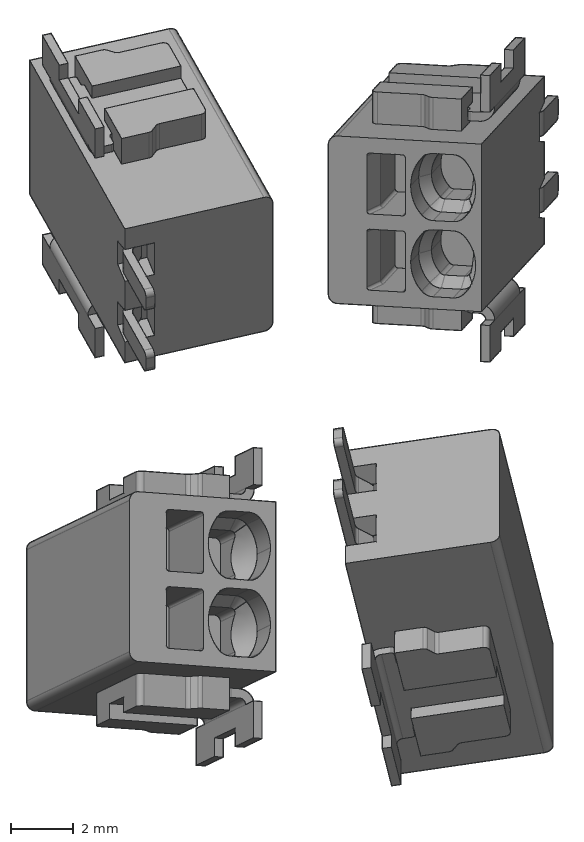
import cadquery as cq
import math


body_length = 9.0
body_height = 5.0
body_width = 5.5
body_edge_radius = 0.3
pole_pitch = 2.5
pole_centers = (-pole_pitch / 2, pole_pitch / 2)

entry_center_y = 1.25
entry_half_y = 1.06
entry_half_z = 1.1
entry_side_radius = 1.4
entry_corner_radius = 0.5
entry_flat_half = 0.325
mouth_depth = 1.15
entry_side_shift = entry_side_radius - entry_half_y
entry_corner_z = entry_half_z - entry_corner_radius
entry_side_angle = math.atan2(entry_corner_z, entry_flat_half + entry_side_shift)
funnel_inset = 0.3
funnel_angle = 30.0
funnel_slope = math.tan(math.radians(funnel_angle))
funnel_depth = funnel_inset / funnel_slope
entry_depth = 3.0

window_bottom = 2.48
window_top = 3.5
window_width = 2.0
window_corner_radius = 0.1
window_lead_depth = 0.9
window_lead_angle = 15.0
window_lead_rise = window_lead_depth * math.tan(math.radians(window_lead_angle))

metal = 0.3

pin_width = 0.8
pin_end = 11.0
pin_tip_radius = 0.2
pin_bend_start = 8.93
pin_bend_radius = 0.55
pin_bend_angle = math.radians(45.0)
pin_leg_rise = 0.6
recess_depth = 0.68
recess_height = 1.0
recess_width = 1.3
recess_side_angle = math.radians(15.0)

block_center_x = 3.7
block_bottom = 1.0
block_top = 4.0
block_low_width = 4.4
block_high_width = 3.8
block_shoulder = 2.0
block_radius = 0.2
block_outer_z = 3.8
groove_width = 1.2
groove_floor_z = 3.3

strip_width = 3.6
neck_width = 2.6
neck_bottom = 0.9
neck_radius = 0.1
anchor_bend_radius = 0.5
foot_width = 5.0
foot_end_z = 4.7
notch_width = 1.8
notch_depth = 0.6


def make_body():
    body = cq.Workplane("XY").box(body_length, body_height, body_width, centered=(False, False, True))
    return body.edges("|X and >Y").fillet(body_edge_radius)


def ring_wire(x, pieces):
    """Closed wire in the plane at x; each piece lists 2 (line) or 3 (arc) (y, z) points."""
    edges = []
    for piece in pieces:
        points = [cq.Vector(x, y, z) for y, z in piece]
        if len(points) == 2:
            edges.append(cq.Edge.makeLine(*points))
        else:
            edges.append(cq.Edge.makeThreePointArc(*points))
    return cq.Wire.assembleEdges(edges)


def polar(center, radius, angle):
    return (center[0] + radius * math.cos(angle), center[1] + radius * math.sin(angle))


def entry_outline(x, center_z, inset, lower_shape="arc"):
    """Wire-entry outline shrunk by inset; its lower side is an arc, its chord, or a flat on the corners."""
    corner_radius = entry_corner_radius - inset
    side_radius = entry_side_radius - inset
    corner_middle = (entry_side_angle + math.pi / 2) / 2
    corner = (entry_flat_half, entry_corner_z)
    side_center = (-entry_side_shift, 0)

    flat_end = polar(corner, corner_radius, math.pi / 2)
    corner_end = polar(corner, corner_radius, entry_side_angle)
    corner_arc = [flat_end, polar(corner, corner_radius, corner_middle), corner_end]
    side_arc = [
        corner_end,
        polar(side_center, side_radius, entry_side_angle / 2),
        polar(side_center, side_radius, 0),
    ]
    lower_corner = corner_arc
    lower_side = side_arc
    if lower_shape == "chord":
        lower_side = [corner_end, (corner_end[0], 0)]
    if lower_shape == "flat":
        flat_y = entry_flat_half + corner_radius
        lower_corner = [flat_end, polar(corner, corner_radius, math.pi / 4), (flat_y, entry_corner_z)]
        lower_side = [(flat_y, entry_corner_z), (flat_y, 0)]

    def placed(piece, sign_y, sign_z):
        return [(entry_center_y + sign_y * y, center_z + sign_z * z) for y, z in piece]

    flat = [(-flat_end[0], flat_end[1]), flat_end]
    pieces = [placed(flat, 1, 1)]
    pieces += [placed(corner_arc, 1, 1), placed(side_arc, 1, 1)]
    pieces += [placed(side_arc[::-1], 1, -1), placed(corner_arc[::-1], 1, -1)]
    pieces += [placed(flat[::-1], 1, -1)]
    pieces += [placed(lower_corner, -1, -1), placed(lower_side, -1, -1)]
    pieces += [placed(lower_side[::-1], -1, 1), placed(lower_corner[::-1], -1, 1)]
    return ring_wire(x, pieces)


def make_funnel_side(center_z):
    """Conical lower side of the funnel, carried on until it meets the flat of the bore."""
    flat_offset = entry_flat_half + entry_corner_radius - funnel_inset
    side_depth = (entry_half_y - flat_offset) / funnel_slope
    side_end_x = mouth_depth + side_depth
    end_radius = entry_side_radius - side_depth * funnel_slope
    axis_start = cq.Vector(mouth_depth, entry_center_y + entry_side_shift, center_z)
    cone = cq.Solid.makeCone(entry_side_radius, end_radius, side_depth, axis_start, cq.Vector(1, 0, 0))

    start_chord = entry_flat_half + entry_corner_radius * math.cos(entry_side_angle)
    end_chord = start_chord - funnel_inset * math.cos(entry_side_angle)
    below_chord = (
        cq.Workplane("XY", origin=(0, entry_center_y, center_z))
        .moveTo(mouth_depth, -entry_side_radius)
        .lineTo(mouth_depth, -start_chord)
        .lineTo(mouth_depth + funnel_depth, -end_chord)
        .lineTo(side_end_x, -end_chord)
        .lineTo(side_end_x, -entry_side_radius)
        .close()
        .extrude(entry_side_radius, both=True)
    )
    return cq.Workplane(cone).intersect(below_chord)


def make_wire_entry(center_z):
    opening = entry_outline(0, center_z, 0)
    mouth = cq.Solid.extrudeLinear(opening, [], cq.Vector(mouth_depth, 0, 0))
    funnel_end_x = mouth_depth + funnel_depth
    funnel_start = entry_outline(mouth_depth, center_z, 0, "chord")
    funnel_end = entry_outline(funnel_end_x, center_z, funnel_inset, "chord")
    funnel = cq.Solid.makeLoft([funnel_start, funnel_end], True)
    bore_outline = entry_outline(funnel_end_x, center_z, funnel_inset, "flat")
    bore = cq.Solid.extrudeLinear(bore_outline, [], cq.Vector(entry_depth - funnel_end_x, 0, 0))
    entry = cq.Workplane(mouth).union(cq.Workplane(funnel)).union(cq.Workplane(bore))
    return entry.union(make_funnel_side(center_z))


def make_window(center_z):
    """Rectangular window whose top wall slopes down from the opening over the lead depth."""
    profile = [
        (0, window_bottom),
        (entry_depth, window_bottom),
        (entry_depth, window_top),
        (window_lead_depth, window_top),
        (0, window_top + window_lead_rise),
    ]
    window = cq.Workplane("XY").polyline(profile).close().extrude(window_width / 2, both=True)
    rounded = window.edges("not (|Z or |Y)").fillet(window_corner_radius)
    return rounded.translate((0, 0, center_z))


def make_pin_recess(center_z):
    inner_x = body_length - recess_depth
    outer_half = recess_width / 2
    inner_half = outer_half - recess_depth * math.tan(recess_side_angle)
    outline = [
        (inner_x, center_z - inner_half),
        (body_length, center_z - outer_half),
        (body_length, center_z + outer_half),
        (inner_x, center_z + inner_half),
    ]
    return cq.Workplane("XZ").polyline(outline).close().extrude(-recess_height)


def make_pin(center_z):
    """Flat tail on the board, bent up at 45 degrees into the housing."""
    bend_center = (pin_bend_start, pin_bend_radius)
    inner_radius = pin_bend_radius - metal
    down = -math.pi / 2
    bend_end = down - pin_bend_angle
    bend_middle = down - pin_bend_angle / 2
    outer_end = polar(bend_center, pin_bend_radius, bend_end)
    inner_end = polar(bend_center, inner_radius, bend_end)
    leg_run = pin_leg_rise / math.tan(pin_bend_angle)
    pin = (
        cq.Workplane("XY")
        .moveTo(pin_end, 0)
        .lineTo(pin_bend_start, 0)
        .threePointArc(polar(bend_center, pin_bend_radius, bend_middle), outer_end)
        .line(-leg_run, pin_leg_rise)
        .lineTo(inner_end[0] - leg_run, inner_end[1] + pin_leg_rise)
        .lineTo(*inner_end)
        .threePointArc(polar(bend_center, inner_radius, bend_middle), (pin_bend_start, metal))
        .lineTo(pin_end, metal)
        .close()
        .extrude(pin_width / 2, both=True)
    )
    return pin.edges("|Y and >X").fillet(pin_tip_radius).translate((0, 0, center_z))


def make_block():
    low_half = block_low_width / 2
    high_half = block_high_width / 2
    shoulder_top = block_shoulder + low_half - high_half
    right_side = [
        (low_half, block_bottom),
        (low_half, block_shoulder),
        (high_half, shoulder_top),
        (high_half, block_top),
    ]
    left_side = [(-x, y) for x, y in reversed(right_side)]
    base_z = body_width / 2
    block = cq.Workplane("XY", origin=(block_center_x, 0, base_z)).polyline(right_side + left_side).close()
    block = block.extrude(block_outer_z - base_z)
    block = block.edges("|Z").edges("not <Y").fillet(block_radius)
    groove_floor = cq.Workplane("XY", origin=(block_center_x, 0, groove_floor_z))
    groove = groove_floor.rect(groove_width, 2 * body_height).extrude(block_outer_z - groove_floor_z)
    return block.cut(groove)


def make_anchor():
    """Strip with a narrowed neck, bent through 90 degrees into a notched foot."""
    strip_inner_z = groove_floor_z - metal
    foot_start_z = strip_inner_z + anchor_bend_radius
    inner_radius = anchor_bend_radius - metal
    bend_center = (foot_start_z, anchor_bend_radius)
    bend_middle = -3 * math.pi / 4
    side_plane = cq.Plane(origin=(block_center_x, 0, 0), xDir=(0, 0, 1), normal=(-1, 0, 0))
    strip = (
        cq.Workplane(side_plane)
        .moveTo(strip_inner_z, neck_bottom)
        .lineTo(strip_inner_z, anchor_bend_radius)
        .threePointArc(polar(bend_center, anchor_bend_radius, bend_middle), (foot_start_z, 0))
        .lineTo(foot_start_z, metal)
        .threePointArc(polar(bend_center, inner_radius, bend_middle), (groove_floor_z, anchor_bend_radius))
        .lineTo(groove_floor_z, neck_bottom)
        .close()
        .extrude(strip_width / 2, both=True)
        .edges("|Z and >Y")
        .fillet(neck_radius)
    )
    half_neck = neck_width / 2
    neck = (
        cq.Workplane("XY", origin=(block_center_x, 0, strip_inner_z))
        .moveTo(-half_neck - neck_radius, neck_bottom)
        .radiusArc((-half_neck, neck_bottom + neck_radius), -neck_radius)
        .lineTo(half_neck, neck_bottom + neck_radius)
        .radiusArc((half_neck + neck_radius, neck_bottom), -neck_radius)
        .close()
        .extrude(metal)
    )
    foot_length = foot_end_z - foot_start_z
    foot = cq.Workplane("XY").box(foot_width, metal, foot_length, centered=(True, False, False))
    notch = cq.Workplane("XY").box(notch_width, metal, notch_depth, centered=(True, False, False))
    foot = foot.cut(notch.translate((0, 0, foot_length - notch_depth)))
    return strip.union(neck).union(foot.translate((block_center_x, 0, foot_start_z)))


result = make_body()
for pole_z in pole_centers:
    result = result.cut(make_wire_entry(pole_z))
    result = result.cut(make_window(pole_z))
    result = result.cut(make_pin_recess(pole_z))
    result = result.union(make_pin(pole_z))

side_mount = make_block().union(make_anchor())
result = result.union(side_mount).union(side_mount.mirror("XY"))